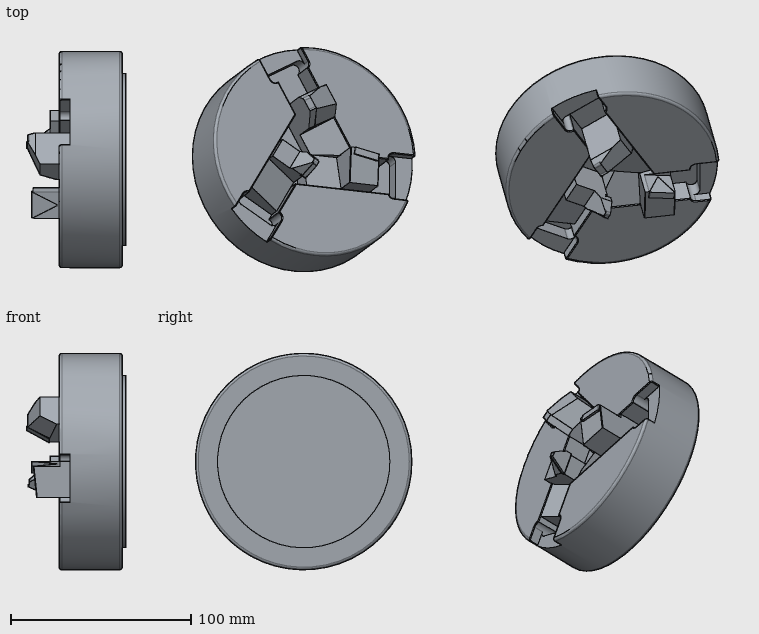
import cadquery as cq
import math


head_radius = 60.0
head_length = 35.0
rim_fillet = 1.5
spigot_radius = 47.75
spigot_end = 37.0

slot_angles = (0, -120, -240)
slot_width = 20.0
slot_depth = 15.0
slot_lip = 0.5
slot_inner_end = -slot_width / math.sqrt(3)
head_pocket_outer = 50.0
head_pocket_inner = 43.6
head_pocket_top = 3.75
head_pocket_bottom = -22.25
rim_slot_depth = 6.0

ramp_length = 20.4
ramp_high_x = 0.5
ramp_low_x = 7.4

square_inner = 15.5
square_outer = 32.6
square_front_x = -14.6
square_front_slope = math.tan(math.radians(6))
square_edge_chamfer = 0.4
square_trim_side = 2.0
rake_inner = 17.8
rake_angle = 10.4
rake_end_x = 0.6
plate_thickness = 3.8
plate_proud = 0.6
plate_top_lift = 0.1
plate_apex_x = -0.6
plate_corner_radius = 0.4

wide_inner = 12.4
wide_outer = 29.8
wide_front_x = -17.5
wide_bevel_x = -13.2
wide_bevel_radial = 27.5
wide_far_front_x = -10.6
wide_far_nose_radial = 17.7
wide_far_flank_x = -1.35
wide_flank_x = -5.2
wide_nose_radial = 20.1
wide_tip_thickness = 4.3

narrow_inner = 8.05
narrow_outer = 19.9
narrow_front_x = -5.0
narrow_tip_x = -16.6
narrow_bevel_x = -9.8
narrow_bevel_radial = 12.0
narrow_nose_radial = 14.7
narrow_flank_x = -6.5
narrow_ridge_side = -8.2
narrow_tip_side = -1.1
narrow_plate_side = -0.4
narrow_overhang = 2.0
narrow_overhang_x = -6.3

tip_proud = 0.5
tip_lip = 0.5
tip_hollow_length = 0.7
cheek_corner_radius = 1.8

cut_margin = 1.0
reach = 100.0


def prism_along_side(points, side_start, side_end):
    """Extrude an (x, radial) outline between two side positions."""
    outline = [(x, -radial) for x, radial in points]
    plane = cq.Workplane("XY", origin=(0, 0, side_start))
    return plane.polyline(outline).close().extrude(side_end - side_start)


def prism_along_radius(points, radial_start, radial_end):
    """Extrude an (x, side) outline between two radial positions."""
    plane = cq.Workplane("XZ", origin=(0, -radial_start, 0))
    return plane.polyline(points).close().extrude(radial_end - radial_start)


def turn(shape, angle):
    """Turn a shape about the head axis."""
    return shape.rotate((0, 0, 0), (1, 0, 0), angle)


def block(x_start, x_end, radial_start, radial_end, side_start, side_end):
    """Box between two positions along each direction."""
    corners = [(x_start, side_start), (x_end, side_start), (x_end, side_end), (x_start, side_end)]
    return prism_along_radius(corners, radial_start, radial_end)


def slot_cut():
    """Deep T-shaped cutter pocket with a shallow run-out to the rim."""
    pocket_width = head_pocket_outer - head_pocket_inner
    pocket_centre_radial = (head_pocket_outer + head_pocket_inner) / 2
    pocket_centre_side = (head_pocket_top + head_pocket_bottom) / 2
    pocket_length = head_pocket_top - head_pocket_bottom
    channel = block(-cut_margin, slot_depth, slot_inner_end, pocket_centre_radial, -slot_width, 0)
    pocket = (
        cq.Workplane("YZ", origin=(-cut_margin, 0, 0))
        .center(-pocket_centre_radial, pocket_centre_side)
        .slot2D(pocket_length, pocket_width, 90)
        .extrude(slot_depth + cut_margin)
    )
    run_out = block(
        -cut_margin,
        rim_slot_depth,
        pocket_centre_radial,
        head_radius + cut_margin,
        head_pocket_bottom,
        head_pocket_top,
    )
    return channel.union(pocket).union(run_out)


def make_housing():
    body = cq.Workplane("YZ").circle(head_radius).extrude(head_length)
    body = body.edges("%CIRCLE").fillet(rim_fillet)
    spigot = cq.Workplane("YZ").circle(spigot_radius).extrude(spigot_end)
    body = body.union(spigot)
    for angle in slot_angles:
        body = body.cut(turn(slot_cut(), angle))
    mouth = body.faces("<X").edges()
    slot_edges = mouth.filter(lambda edge: edge.geomType() == "LINE" or edge.radius() < head_radius / 2)
    return slot_edges.chamfer(slot_lip)


def ramp(radial_start, radial_end):
    """Foot of a cutter with its sloping chip face."""
    outline = [
        (slot_depth, -slot_width),
        (slot_depth, 0),
        (ramp_low_x, 0),
        (ramp_high_x, -slot_width),
    ]
    return prism_along_radius(outline, radial_start, radial_end)


def square_plate():
    """Triangular cutting plate lying on the raked face, before it is tilted."""
    length = (square_outer - rake_inner) / math.cos(math.radians(rake_angle))
    front = square_front_x - plate_proud
    points = [
        (front, rake_inner),
        (front, rake_inner + length),
        (plate_apex_x, rake_inner + length / 2),
    ]
    plate = prism_along_side(points, -plate_thickness, plate_top_lift)
    return plate.edges("|Z").fillet(plate_corner_radius)


def make_square_cutter():
    low_x = square_front_x + square_front_slope * slot_width
    outline = [
        (square_front_x, 0),
        (low_x, -slot_width),
        (slot_depth, -slot_width),
        (slot_depth, 0),
    ]
    shank = prism_along_radius(outline, square_inner, square_outer)
    shank = shank.faces("<X").edges("not |Y").chamfer(square_edge_chamfer)
    pivot = (0, -rake_inner, 0)
    pivot_end = (1, -rake_inner, 0)
    rake = block(-reach, rake_end_x, rake_inner, reach, 0, reach)
    rake = rake.rotate(pivot, pivot_end, rake_angle)
    plate = square_plate().rotate(pivot, pivot_end, rake_angle)
    cutter = shank.cut(rake).union(plate)
    cutter = cutter.union(ramp(square_inner - ramp_length, square_inner))
    trim = block(-cut_margin, slot_depth, -reach, reach, -reach, square_trim_side)
    return cutter.cut(turn(trim, slot_angles[2]))


def in_front_of(first, second, third):
    """Block filling everything in front of the plane through three (x, radial, side) points."""
    first, second, third = (cq.Vector(x, -radial, side) for x, radial, side in (first, second, third))
    normal = (second - first).cross(third - first)
    if normal.x > 0:
        normal = -normal
    plane = cq.Plane(origin=first, xDir=second - first, normal=normal)
    return cq.Workplane(plane).rect(reach, reach).extrude(reach)


def hard_tip(back, nose, front_direction, side_start, side_end):
    """Plate standing proud of the flank from "back" to "nose", with a lip past the front.

    front_direction is +1 where the front runs outwards from the nose and -1 where it runs inwards.
    """
    flank_x = abs(nose[0] - back[0])
    flank_radial = abs(nose[1] - back[1])
    flank_length = math.hypot(flank_x, flank_radial)
    raised_back = (
        back[0] - flank_radial / flank_length * tip_proud,
        back[1] - front_direction * flank_x / flank_length * tip_proud,
    )
    lip_x = nose[0] - tip_lip
    lip_run = (raised_back[0] - lip_x) * flank_radial / flank_x
    lip = (lip_x, raised_back[1] + front_direction * lip_run)
    hollow_end = (nose[0], nose[1] + front_direction * tip_hollow_length)
    hollow_middle = (nose[0] - tip_lip / 4, (lip[1] + hollow_end[1]) / 2)
    points = [back, raised_back, lip, hollow_middle, hollow_end, nose]
    back, raised_back, lip, hollow_middle, hollow_end, nose = [(x, -radial) for x, radial in points]
    outline = cq.Workplane("XY", origin=(0, 0, side_start)).polyline([nose, back, raised_back, lip])
    outline = outline.threePointArc(hollow_middle, hollow_end).close()
    return outline.extrude(side_end - side_start)


def round_corner(cheek, corner):
    """Round the edge along the side direction that passes through an (x, radial) corner."""
    middle = cheek.val().Center().z
    nearest = cq.selectors.NearestToPointSelector((corner[0], -corner[1], middle))
    return cheek.edges("|Z").edges(nearest).fillet(cheek_corner_radius)


def make_wide_cutter():
    shank_profile = [
        (slot_depth, wide_inner),
        (wide_front_x, wide_inner),
        (wide_front_x, wide_bevel_radial),
        (wide_bevel_x, wide_outer),
        (slot_depth, wide_outer),
    ]
    shank = prism_along_side(shank_profile, -slot_width, -wide_tip_thickness)
    sloped_front = in_front_of(
        (wide_far_front_x, wide_inner, -slot_width),
        (wide_far_front_x, wide_outer, -slot_width),
        (wide_front_x, wide_outer, -wide_tip_thickness),
    )
    flank = in_front_of(
        (wide_far_flank_x, wide_inner, -slot_width),
        (wide_far_front_x, wide_far_nose_radial, -slot_width),
        (wide_flank_x, wide_inner, -wide_tip_thickness),
    )
    shank = shank.cut(sloped_front).cut(flank)
    back = (wide_flank_x, wide_inner)
    nose = (wide_front_x, wide_nose_radial)
    bevel_corner = (wide_front_x, wide_bevel_radial)
    cheek_profile = [
        (slot_depth, wide_inner),
        back,
        nose,
        bevel_corner,
        (wide_bevel_x, wide_outer),
        (slot_depth, wide_outer),
    ]
    cheek = prism_along_side(cheek_profile, -wide_tip_thickness, 0)
    cheek = round_corner(cheek, bevel_corner)
    tip = hard_tip(back, nose, 1, -wide_tip_thickness, 0)
    cutter = shank.union(cheek).union(tip)
    cutter = cutter.union(ramp(wide_inner - ramp_length, wide_inner))
    first_slot = block(-reach, reach, -reach, reach, -reach, 0)
    return cutter.cut(turn(first_slot, -slot_angles[1]))


def make_narrow_cutter():
    shank = block(narrow_front_x, slot_depth, narrow_inner, narrow_outer, -slot_width, 0)
    back = (narrow_flank_x, narrow_outer)
    nose = (narrow_tip_x, narrow_nose_radial)
    bevel_corner = (narrow_tip_x, narrow_bevel_radial)
    ridge_top = [back, nose, bevel_corner, (narrow_bevel_x, narrow_inner)]
    ridge_profile = [(narrow_front_x, narrow_inner), (narrow_front_x, narrow_outer), *ridge_top]
    ridge = prism_along_side(ridge_profile, narrow_ridge_side, narrow_tip_side)
    ridge_slope = in_front_of(
        (narrow_front_x, narrow_inner, narrow_ridge_side),
        (narrow_front_x, narrow_outer, narrow_ridge_side),
        (narrow_tip_x, narrow_outer, narrow_tip_side),
    )
    ridge = ridge.cut(ridge_slope)
    overhang_profile = [(narrow_overhang_x, narrow_inner), (narrow_overhang_x, narrow_outer), *ridge_top]
    overhang = prism_along_side(overhang_profile, narrow_tip_side, narrow_overhang)
    overhang = round_corner(overhang, bevel_corner)
    tip = hard_tip(back, nose, -1, narrow_plate_side, narrow_overhang)
    cutter = shank.union(ridge).union(overhang).union(tip)
    return cutter.union(ramp(narrow_outer, narrow_outer + ramp_length))


housing = make_housing()
square_cutter = make_square_cutter()
wide_cutter = turn(make_wide_cutter(), slot_angles[1])
narrow_cutter = turn(make_narrow_cutter(), slot_angles[2])
result = cq.Compound.makeCompound(
    [housing.val(), square_cutter.val(), wide_cutter.val(), narrow_cutter.val()]
)